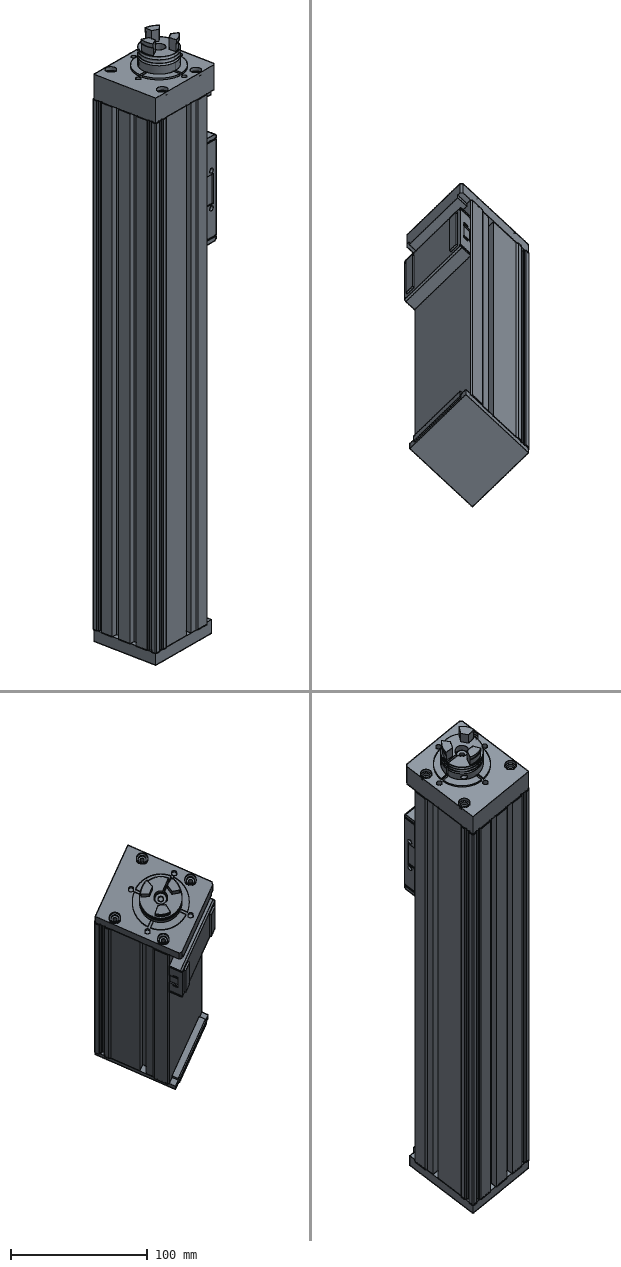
import cadquery as cq
import math


total_length = 497.5
profile_width = 60.0
half_width = profile_width / 2
profile_back = 20.0
profile_front = profile_back - profile_width
end_cap_height = 10.0
cover_bottom = 450.0
cover_top = 471.0

block_half_width = 29.5
block_front = profile_front + 0.75

profile_chamfer = 1.0
side_recess_y = (-28.5, 8.5)
side_recess_depth = 1.0
side_recess_slope = 1.5
nut_slot_depth = 5.0
front_slot_x = 8.5
front_slot_width = 6.0
side_slot_y = -1.25
side_slot_width = 5.0
edge_groove_width = 4.5
edge_groove_depth = 1.5
edge_groove_inner_width = 2.0
edge_groove_x = 24.0
edge_groove_y = -34.0

cover_back = 29.5
cover_back_chamfer = 1.5
cover_ledge_height = 6.0
cover_ledge_half_width = 25.5
boss_diameter = 42.0
boss_height = 1.5
boss_slot_width = 2.0
small_hole_diameter = 4.0
small_hole_depth = 5.0
small_hole_radius = 24.0
screw_x = 24.5
screw_y = (-26.0, 13.0)
screw_hole_steps = (
    (8.5, 3.0),
    (6.0, 6.0),
    (3.0, cover_top - cover_bottom),
)

cap_back = 25.0
cap_ledge_top = 11.5
clamp_back = 26.0
clamp_half_width = 24.5
clamp_bottom = 4.5
clamp_top = 17.0
clamp_chamfer = 1.0

carriage_bottom = 324.5
carriage_top = 413.0
carriage_back = 30.5
pad_back = 32.0
pad_bottom = 332.5
pad_top = 406.0
pad_x = 23.0
pad_width = 7.0
carriage_chamfer = 1.5
seal_thickness = 4.0
seal_groove_size = 1.0
side_hole_diameter = 4.0
side_hole_depth = 2.5
side_hole_spacing = 31.5
side_hole_y = 25.0
side_pocket_length = 25.0
side_pocket_depth = 1.0

shaft_diameter = 10.0
shaft_top = 482.5
shaft_chamfer = 0.75
center_hole_diameter = 4.0
center_hole_depth = 2.5
hub_diameter = 31.5
hub_bottom = cover_top + boss_height + 0.5
hub_top = 487.5
hub_groove_depth = 1.0
hub_groove_widths = (2.5, 3.0, 2.0)
hub_slit_width = 1.5
clamp_screw_x = -10.0
clamp_screw_z = 476.0
clamp_screw_diameter = 4.0
clamp_head_diameter = 5.5
clamp_head_seat_y = 7.5
jaw_count = 3
jaw_flank_angle = 25.0
jaw_inner_width = 6.0
jaw_inner_radius = 8.0
jaw_outer_radius = 14.5
jaw_tip_radius = 15.0
jaw_tip_height = 3.5


def block(x_half, y_min, y_max, z_min, z_max):
    """A box centred on X = 0."""
    return cq.Workplane("XY").box(
        2 * x_half, y_max - y_min, z_max - z_min, centered=(True, False, False)
    ).translate((0, y_min, z_min))


def cylinder(diameter, z_min, z_max, x=0.0, y=0.0):
    """A cylinder parallel to Z."""
    return cq.Workplane("XY").circle(diameter / 2).extrude(z_max - z_min).translate((x, y, z_min))


def lengthwise_bar(x, y, x_size, y_size):
    """A cutter that runs the whole length of the profile, centred on X and Y."""
    return cq.Workplane("XY").rect(x_size, y_size).extrude(total_length).translate((x, y, 0))


def make_profile():
    body = block(half_width, profile_front, profile_back, end_cap_height, cover_bottom)
    body = body.edges("|Z").chamfer(profile_chamfer)
    recess_floor = half_width - side_recess_depth
    recess_low, recess_high = side_recess_y
    for side in (-1, 1):
        recess = cq.Workplane("XY").polyline([
            (side * half_width, recess_low),
            (side * recess_floor, recess_low + side_recess_slope),
            (side * recess_floor, recess_high - side_recess_slope),
            (side * half_width, recess_high),
        ]).close().extrude(total_length)
        body = body.cut(recess)
        slot_cut = 2 * nut_slot_depth
        body = body.cut(lengthwise_bar(side * recess_floor, side_slot_y, slot_cut, side_slot_width))
        body = body.cut(lengthwise_bar(side * front_slot_x, profile_front, front_slot_width, slot_cut))
        for width, depth in (
            (edge_groove_width, edge_groove_depth),
            (edge_groove_inner_width, 2 * edge_groove_depth),
        ):
            body = body.cut(lengthwise_bar(side * edge_groove_x, profile_front, width, 2 * depth))
            body = body.cut(lengthwise_bar(side * half_width, edge_groove_y, 2 * depth, width))
    return body


def make_drive_cover():
    body = block(block_half_width, block_front, cover_back, cover_bottom, cover_top)
    body = body.edges("|Z and >Y").chamfer(cover_back_chamfer)
    ledge_bottom = cover_bottom - cover_ledge_height
    body = body.union(block(cover_ledge_half_width, profile_back, cover_back, ledge_bottom, cover_bottom))
    boss_top = cover_top + boss_height
    body = body.union(cylinder(boss_diameter, cover_top, boss_top))
    for slot_size in ((boss_diameter, boss_slot_width), (boss_slot_width, boss_diameter)):
        body = body.cut(
            cq.Workplane("XY").workplane(offset=cover_top).rect(*slot_size).extrude(boss_height)
        )
    for x_sign, y_sign in ((1, 0), (0, 1), (-1, 0), (0, -1)):
        body = body.cut(cylinder(
            small_hole_diameter, cover_top - small_hole_depth, boss_top,
            x_sign * small_hole_radius, y_sign * small_hole_radius,
        ))
    for x in (-screw_x, screw_x):
        for y in screw_y:
            for diameter, depth in screw_hole_steps:
                body = body.cut(cylinder(diameter, cover_top - depth, cover_top, x, y))
    return body.cut(cylinder(shaft_diameter, cover_bottom, boss_top))


def make_end_cap():
    body = block(block_half_width, block_front, cap_back, 0, end_cap_height)
    body = body.union(block(block_half_width, profile_back, cap_back, 0, cap_ledge_top))
    clamp = block(clamp_half_width, profile_back, clamp_back, clamp_bottom, clamp_top)
    return body.union(clamp.edges(">Y and >Z").chamfer(clamp_chamfer))


def make_carriage():
    body = block(block_half_width, profile_back, carriage_back, carriage_bottom, carriage_top)
    body = body.faces("<Z or >Z").edges(">Y").chamfer(carriage_chamfer)
    for x in (-pad_x, pad_x):
        pad = block(pad_width / 2, carriage_back, pad_back, pad_bottom, pad_top)
        body = body.union(pad.translate((x, 0, 0)))
    middle = (carriage_bottom + carriage_top) / 2
    seal_lines = (carriage_bottom + seal_thickness, carriage_top - seal_thickness)
    for side in (-1, 1):
        face_x = side * block_half_width
        for z in seal_lines:
            body = body.cut(cq.Workplane("XY").box(
                2 * seal_groove_size, 2 * (carriage_back - profile_back), seal_groove_size
            ).translate((face_x, carriage_back, z)))
        for offset in (-side_hole_spacing / 2, side_hole_spacing / 2):
            body = body.cut(cq.Workplane("YZ").center(side_hole_y, middle + offset).circle(
                side_hole_diameter / 2).extrude(-side * side_hole_depth).translate((face_x, 0, 0)))
        pocket_top = side_hole_y + side_hole_diameter / 2
        body = body.cut(cq.Workplane("XY").box(
            2 * side_pocket_depth, 2 * (pocket_top - profile_back), side_pocket_length
        ).translate((face_x, profile_back, middle)))
    return body


def make_shaft():
    body = cylinder(shaft_diameter, cover_bottom, shaft_top).faces(">Z").chamfer(shaft_chamfer)
    return body.cut(cylinder(center_hole_diameter, shaft_top - center_hole_depth, shaft_top))


def jaw_block(outer_radius, z_min, z_max):
    """A wedge along +X that widens outwards and ends on the round outer surface."""
    inner_half = jaw_inner_width / 2
    outer_half = inner_half + (outer_radius - jaw_inner_radius) * math.tan(math.radians(jaw_flank_angle))
    wedge = cq.Workplane("XY").workplane(offset=z_min).polyline([
        (jaw_inner_radius, -inner_half),
        (outer_radius, -outer_half),
        (outer_radius, outer_half),
        (jaw_inner_radius, inner_half),
    ]).close().extrude(z_max - z_min)
    return wedge.intersect(cylinder(2 * outer_radius, z_min, z_max))


def make_hub():
    hub_radius = hub_diameter / 2
    outline = cq.Workplane("XZ").moveTo(0, hub_top).lineTo(hub_radius, hub_top)
    groove_top = hub_top
    for width in hub_groove_widths:
        groove_bottom = groove_top - width
        groove_floor = (hub_radius - hub_groove_depth, groove_top - width / 2)
        outline = outline.threePointArc(groove_floor, (hub_radius, groove_bottom))
        groove_top = groove_bottom
    body = outline.lineTo(hub_radius, hub_bottom).lineTo(0, hub_bottom).close().revolve(360, (0, 0), (0, 1))
    tip_bottom = total_length - jaw_tip_height
    jaw = jaw_block(jaw_outer_radius, hub_top, total_length)
    jaw = jaw.union(jaw_block(jaw_tip_radius, tip_bottom, total_length))
    for index in range(jaw_count):
        body = body.union(jaw.rotate((0, 0, 0), (0, 0, 1), -90 + index * 360 / jaw_count))
    body = body.cut(cylinder(shaft_diameter, hub_bottom, hub_top))
    slit = cq.Workplane("XY").box(
        hub_diameter / 2, hub_slit_width, hub_top - hub_bottom, centered=(False, True, False)
    ).translate((-hub_diameter / 2, 0, hub_bottom))
    screw_axis = cq.Workplane("XZ").center(clamp_screw_x, clamp_screw_z)
    screw_hole = screw_axis.circle(clamp_screw_diameter / 2).extrude(hub_radius, both=True)
    screw_head = screw_axis.circle(clamp_head_diameter / 2).extrude(-hub_radius)
    head_recess = screw_head.translate((0, clamp_head_seat_y, 0))
    return body.cut(slit).cut(screw_hole).cut(head_recess)


profile = make_profile()
drive_cover = make_drive_cover()
end_cap = make_end_cap()
carriage = make_carriage()
shaft = make_shaft()
hub = make_hub()

result = cq.Compound.makeCompound([
    profile.val(),
    drive_cover.val(),
    end_cap.val(),
    carriage.val(),
    shaft.val(),
    hub.val(),
])